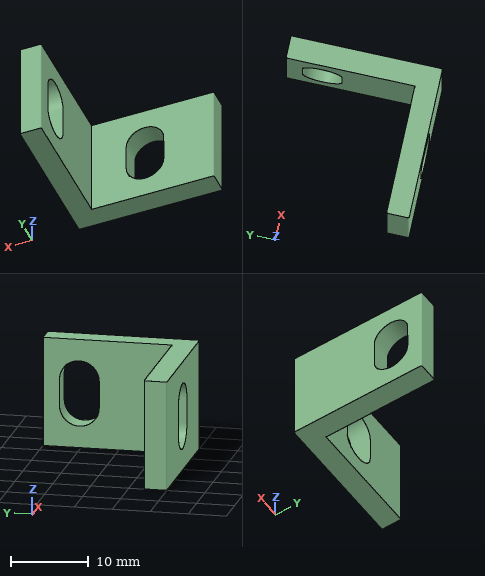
import cadquery as cq

leg_length = 20.0
height = 14.5
thickness = 3.0
edge_radius = 0.2

slot_width = 5.2
slot_length = 8.7
front_slot_x = 9.6
side_slot_y = 15.2

profile = [
    (0, 0),
    (leg_length, 0),
    (leg_length, leg_length),
    (leg_length - thickness, leg_length),
    (leg_length - thickness, thickness),
    (0, thickness),
]
bracket = cq.Workplane("XY").polyline(profile).close().extrude(height)

inner_corner = cq.selectors.NearestToPointSelector((leg_length - thickness, thickness, height / 2))
vertical_edges = cq.selectors.ParallelDirSelector(cq.Vector(0, 0, 1))
outer_edges = cq.selectors.SubtractSelector(vertical_edges, inner_corner)
bracket = bracket.edges(outer_edges).fillet(edge_radius)


def slot_cutter(plane, across):
    """Vertical slot at mid height, running through a leg along the plane normal."""
    return (
        cq.Workplane(plane)
        .center(across, height / 2)
        .slot2D(slot_length, slot_width, 90)
        .extrude(leg_length, both=True)
    )


front_slot = slot_cutter("XZ", front_slot_x)
side_slot = slot_cutter("YZ", side_slot_y)

result = bracket.cut(front_slot).cut(side_slot)